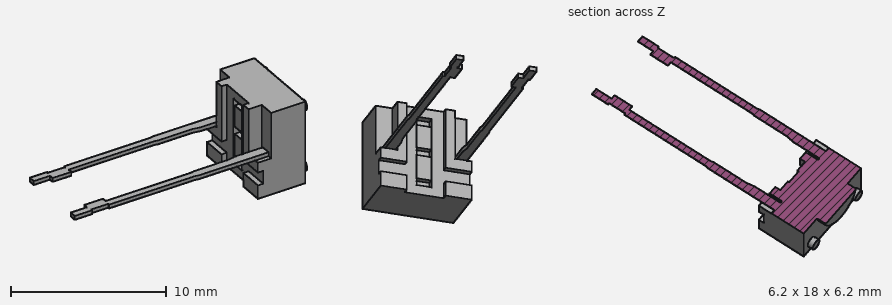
import cadquery as cq

BODY_SIDE = 6.2
BODY_DEPTH = 3.6
HALF_SIDE = BODY_SIDE / 2

BUTTON_DIAMETER = 3.4
BUTTON_HEIGHT = 0.7
BUTTON_EDGE_RADIUS = 0.15
PEG_DIAMETER = 0.75
PEG_HEIGHT = 0.4
PEG_SPACING = 4.6

CHANNEL_DEPTH = 0.4
CHANNEL_WIDTH = 2.64
CROSS_CHANNEL_TOP = -1.1
CROSS_CHANNEL_HEIGHT = 0.97

SLOT_WIDTH = 1.03
SLOT_HEIGHT = 4.9
SLOT_DEPTH = 0.1
WINDOW_HEIGHT = 0.54
WINDOW_DEPTH = 0.4
MIDDLE_WINDOW_Z = 0.03

POCKET_INNER_X = 1.96
POCKET_DEPTH = 1.0
POCKET_FLOOR_Z = -0.35

LEAD_THICKNESS = 0.3
LEAD_LENGTH = 13.65
LEAD_CENTRE_X = 2.485
SHANK_WIDTH = 0.6
TIP_WIDTH = 0.5
ROOT_EXTRA_WIDTH = 0.1
ROOT_TAPER_START_Y = -1.1
ROOT_TAPER_LENGTH = 0.55
SHANK_TAPER_START = 9.37
SHANK_TAPER_END = 9.15

TAB_START = 2.65
TAB_END = 1.22
TAB_WIDTH = 0.32
NOTCH_START = 2.61
NOTCH_END = 1.31
NOTCH_DEPTH = 0.11


def block(x_min, x_max, y_min, y_max, z_min, z_max):
    """Axis-aligned box given by its limits."""
    size = (x_max - x_min, y_max - y_min, z_max - z_min)
    return cq.Workplane("XY").box(*size, centered=False).translate((x_min, y_min, z_min))


def make_body():
    body = block(-HALF_SIDE, HALF_SIDE, 0, BODY_DEPTH, -HALF_SIDE, HALF_SIDE)
    upright = block(-CHANNEL_WIDTH / 2, CHANNEL_WIDTH / 2, 0, CHANNEL_DEPTH, -HALF_SIDE, HALF_SIDE)
    cross_bottom = CROSS_CHANNEL_TOP - CROSS_CHANNEL_HEIGHT
    cross = block(-HALF_SIDE, HALF_SIDE, 0, CHANNEL_DEPTH, cross_bottom, CROSS_CHANNEL_TOP)
    body = body.cut(upright).cut(cross)
    pocket = block(POCKET_INNER_X, HALF_SIDE, 0, POCKET_DEPTH, POCKET_FLOOR_Z, HALF_SIDE)
    return body.cut(pocket).cut(pocket.mirror("YZ"))


def make_slot():
    half_width = SLOT_WIDTH / 2
    slot_floor = CHANNEL_DEPTH + SLOT_DEPTH
    slot = block(-half_width, half_width, CHANNEL_DEPTH, slot_floor, -SLOT_HEIGHT / 2, SLOT_HEIGHT / 2)
    end_window_z = (SLOT_HEIGHT - WINDOW_HEIGHT) / 2
    for centre_z in (-end_window_z, MIDDLE_WINDOW_Z, end_window_z):
        bottom = centre_z - WINDOW_HEIGHT / 2
        top = centre_z + WINDOW_HEIGHT / 2
        window = block(-half_width, half_width, CHANNEL_DEPTH, slot_floor + WINDOW_DEPTH, bottom, top)
        slot = slot.union(window)
    return slot


def make_button():
    front = cq.Workplane("XZ", origin=(0, BODY_DEPTH, 0))
    button = front.circle(BUTTON_DIAMETER / 2).extrude(-BUTTON_HEIGHT)
    return button.faces(">Y").edges().fillet(BUTTON_EDGE_RADIUS)


def make_pegs():
    front = cq.Workplane("XZ", origin=(0, BODY_DEPTH, 0))
    corners = front.rect(PEG_SPACING, PEG_SPACING, forConstruction=True).vertices()
    return corners.circle(PEG_DIAMETER / 2).extrude(-PEG_HEIGHT)


def make_lead():
    """Lead on the +X side, cut from flat strip."""
    tip_y = -LEAD_LENGTH
    shank_inner = LEAD_CENTRE_X - SHANK_WIDTH / 2
    shank_outer = LEAD_CENTRE_X + SHANK_WIDTH / 2
    root_inner = shank_inner - ROOT_EXTRA_WIDTH
    tip_inner = LEAD_CENTRE_X - TIP_WIDTH / 2
    tip_outer = LEAD_CENTRE_X + TIP_WIDTH / 2
    tab_inner = tip_inner - TAB_WIDTH
    notch_outer = tip_outer - NOTCH_DEPTH
    outline = [
        (root_inner, POCKET_DEPTH),
        (root_inner, ROOT_TAPER_START_Y),
        (shank_inner, ROOT_TAPER_START_Y - ROOT_TAPER_LENGTH),
        (shank_inner, tip_y + SHANK_TAPER_START),
        (tip_inner, tip_y + SHANK_TAPER_END),
        (tip_inner, tip_y + TAB_START),
        (tab_inner, tip_y + TAB_START),
        (tab_inner, tip_y + TAB_END),
        (tip_inner, tip_y + TAB_END),
        (tip_inner, tip_y),
        (tip_outer, tip_y),
        (tip_outer, tip_y + NOTCH_END),
        (notch_outer, tip_y + NOTCH_END),
        (notch_outer, tip_y + NOTCH_START),
        (tip_outer, tip_y + NOTCH_START),
        (tip_outer, tip_y + SHANK_TAPER_END),
        (shank_outer, tip_y + SHANK_TAPER_START),
        (shank_outer, POCKET_DEPTH),
    ]
    strip = cq.Workplane("XY", origin=(0, 0, POCKET_FLOOR_Z)).polyline(outline).close()
    return strip.extrude(LEAD_THICKNESS)


lead = make_lead()
housing = make_body().cut(make_slot()).union(make_button()).union(make_pegs())
result = housing.union(lead).union(lead.mirror("YZ"))